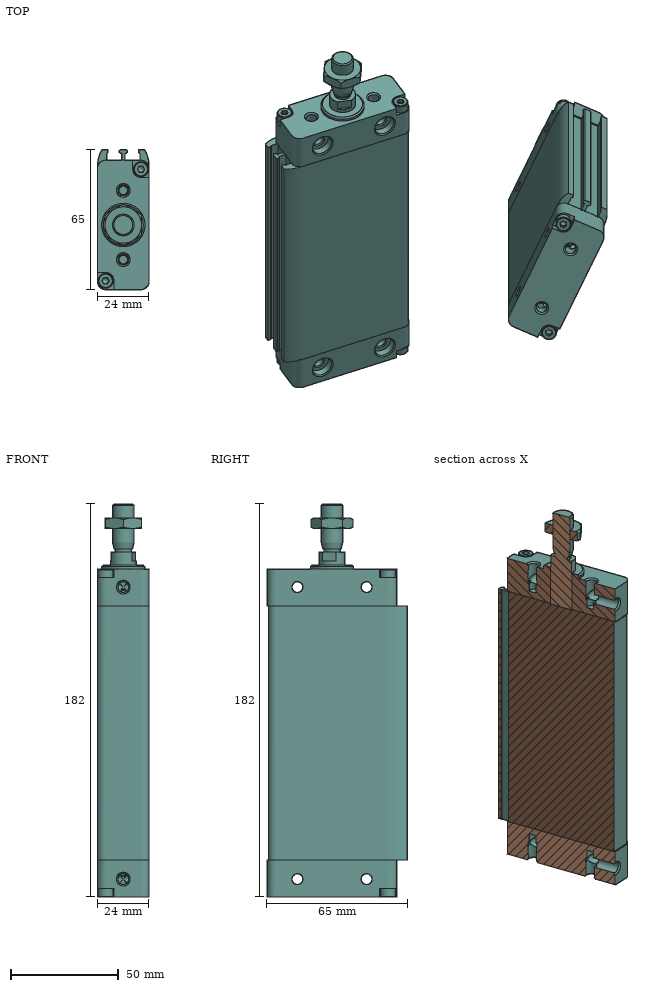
import math

import cadquery as cq


total_height = 182.0
cap_height = 17.1
body_height = 152.0
upper_joint = body_height - cap_height

width = 24.0
cap_depth = 60.0
cap_corner_radius = 4.0
half_width = width / 2
half_cap_depth = cap_depth / 2

mount_offset = 16.0
mount_end_distance = 8.4
mount_height = cap_height - mount_end_distance
mount_bore = 5.0
mount_bore_chamfer = 0.5
counterbore = 9.6
counterbore_chamfer = 0.5
counterbore_depth = 4.0

port_bore = 5.0
port_chamfer = 0.7
end_port_depth = 9.5
end_port_core = 4.0
end_port_core_depth = 13.6

screw_head = 7.0
screw_chamfer = 0.4
screw_inset_x = 3.8
screw_inset_y = 4.2
screw_x = half_width - screw_inset_x
screw_y = half_cap_depth - screw_inset_y
pocket_radius = 3.8
pocket_depth = 4.0
socket_flats = 3.0
socket_depth = 2.0
socket_cone = 0.7

collar_diameter = 20.0
collar_height = 1.8
collar_chamfer = 0.7

barrel_half_depth = 29.5
barrel_corner_radius = 3.6
rail_top = 35.0
rail_bevel_start = 26.8
rail_bevel_inset = 0.1
rail_arc_start = 27.8
rail_tip_inset = 2.2
rail_hook_inset = 5.0
rail_web_inset = 4.4
rail_hook_thickness = 1.3
rail_hook_taper = 0.7
tee_stem = 1.6
tee_head = 3.8
tee_head_thickness = 1.8
tee_chamfer = 0.5

rod_diameter = 12.0
shoulder_height = 159.8
thread_diameter = 10.0
thread_start = 164.2
thread_tip_diameter = 8.7
thread_tip_chamfer = 0.5
runout_diameter = 8.5
neck_diameter = 7.6
neck_height = 1.5
wrench_flats = 10.0
wrench_flat_bottom = 155.6
wrench_flat_angle = -15.0

nut_flats = 17.0
nut_thickness = 5.0
nut_bottom = 170.7
nut_chamfer_angle = 30.0

HEX_CORNER_RATIO = 1 / math.cos(math.pi / 6)


def countersunk_bore(diameter, depth, chamfer):
    """Tool for a bore that sinks from the XY plane to -depth, with a chamfered mouth."""
    radius = diameter / 2
    return (
        cq.Workplane("XZ")
        .polyline([
            (0, 0),
            (radius + chamfer, 0),
            (radius, -chamfer),
            (radius, -depth),
            (0, -depth),
        ])
        .close()
        .revolve(360, (0, 0, 0), (0, 1, 0))
    )


def cut_mounting_holes(cap):
    wide = countersunk_bore(counterbore, counterbore_depth, counterbore_chamfer)
    narrow = countersunk_bore(mount_bore, width - counterbore_depth, mount_bore_chamfer)
    hole = wide.union(narrow.translate((0, 0, -counterbore_depth)))
    hole = hole.rotate((0, 0, 0), (0, 1, 0), -90)
    for y in (-mount_offset, mount_offset):
        cap = cap.cut(hole.translate((-half_width, y, mount_height)))
    return cap


def cut_ports(cap):
    """Ports in the outer face and one in the -Y face, all opening into the mounting holes."""
    core = cq.Workplane("XY").circle(end_port_core / 2).extrude(-end_port_core_depth)
    end_port = countersunk_bore(port_bore, end_port_depth, port_chamfer).union(core)
    for y in (-mount_offset, mount_offset):
        cap = cap.cut(end_port.translate((0, y, cap_height)))
    side_depth = half_cap_depth - mount_offset
    side_port = countersunk_bore(port_bore, side_depth, port_chamfer)
    side_port = side_port.rotate((0, 0, 0), (1, 0, 0), 90)
    return cap.cut(side_port.translate((0, -half_cap_depth, mount_height)))


def screw_pocket():
    """Corner pocket around a screw head, as a tool for the -X, -Y corner, open at the top."""
    length_x = screw_inset_x + pocket_radius
    length_y = screw_inset_y + pocket_radius
    return (
        cq.Workplane("XY")
        .box(length_x, length_y, pocket_depth, centered=False)
        .edges("|Z and >X and >Y")
        .fillet(pocket_radius)
        .translate((-half_width, -half_cap_depth, cap_height - pocket_depth))
    )


def screw_head_shape():
    """Socket screw head standing on the pocket floor of the -X, -Y corner."""
    head = cq.Workplane("XY").circle(screw_head / 2).extrude(pocket_depth)
    head = head.faces(">Z").edges().chamfer(screw_chamfer)
    socket = (
        cq.Workplane("XY")
        .workplane(offset=pocket_depth - socket_depth)
        .polygon(6, socket_flats * HEX_CORNER_RATIO)
        .extrude(socket_depth)
    )
    cone = cq.Workplane(
        cq.Solid.makeCone(
            0,
            socket_flats / 2,
            socket_cone,
            pnt=cq.Vector(0, 0, pocket_depth - socket_depth - socket_cone),
        )
    )
    head = head.cut(socket).cut(cone)
    return head.translate((-screw_x, -screw_y, cap_height - pocket_depth))


def add_screws(cap):
    """Screws in two opposite corners."""
    pocket = screw_pocket()
    head = screw_head_shape()
    for angle in (0, 180):
        cap = cap.cut(pocket.rotate((0, 0, 0), (0, 0, 1), angle))
        cap = cap.union(head.rotate((0, 0, 0), (0, 0, 1), angle))
    return cap


def end_cap():
    """Cap with its joint face on Z = 0 and its outer face up."""
    cap = (
        cq.Workplane("XY")
        .box(width, cap_depth, cap_height, centered=(True, True, False))
        .edges("|Z")
        .fillet(cap_corner_radius)
    )
    return cut_ports(cut_mounting_holes(add_screws(cap)))


def make_lower_cap():
    return end_cap().mirror("XY").translate((0, 0, cap_height))


def make_upper_cap():
    collar = (
        cq.Workplane("XY")
        .workplane(offset=cap_height)
        .circle(collar_diameter / 2)
        .extrude(collar_height)
        .faces(">Z")
        .edges()
        .chamfer(collar_chamfer)
    )
    rod_bore = cq.Workplane("XY").circle(rod_diameter / 2).extrude(cap_height + collar_height)
    return end_cap().union(collar).cut(rod_bore).translate((0, 0, upper_joint))


def rail_outline_points():
    """Middle and end of the outer rail arc, which leaves the bevel parallel to the Y axis."""
    start_x = -half_width + rail_bevel_inset
    tip_x = -half_width + rail_tip_inset
    run = tip_x - start_x
    rise = rail_top - rail_arc_start
    radius = (run**2 + rise**2) / (2 * run)
    half_sweep = math.asin(rise / radius) / 2
    middle = (
        start_x + radius * (1 - math.cos(half_sweep)),
        rail_arc_start + radius * math.sin(half_sweep),
    )
    return middle, (tip_x, rail_top)


def hooked_rail(length):
    """Hooked rail on the -X side, with the bevelled part of the wall that carries it."""
    arc_middle, arc_end = rail_outline_points()
    hook_x = -half_width + rail_hook_inset
    web_x = -half_width + rail_web_inset
    hook_bottom = rail_top - rail_hook_thickness
    return (
        cq.Workplane("XY")
        .moveTo(-half_width, rail_bevel_start)
        .lineTo(-half_width + rail_bevel_inset, rail_arc_start)
        .threePointArc(arc_middle, arc_end)
        .lineTo(hook_x, rail_top)
        .lineTo(hook_x, hook_bottom)
        .lineTo(web_x, hook_bottom - rail_hook_taper)
        .lineTo(web_x, rail_bevel_start)
        .close()
        .extrude(length)
    )


def slab(size_x, start_y, end_y, length):
    """Block centred on X = 0 that reaches from start_y to end_y."""
    return (
        cq.Workplane("XY")
        .box(size_x, end_y - start_y, length, centered=(True, False, False))
        .translate((0, start_y, 0))
    )


def make_barrel():
    """Barrel profile with two hooked rails and a tee rail along its +Y face."""
    length = upper_joint - cap_height
    core = slab(width, -barrel_half_depth, rail_bevel_start, length)
    core = core.edges("|Z and <Y").fillet(barrel_corner_radius)
    rail = hooked_rail(length)
    slot_floor = slab(width - 2 * rail_web_inset, rail_bevel_start, barrel_half_depth, length)
    stem = slab(tee_stem, barrel_half_depth, rail_top, length)
    tee = slab(tee_head, rail_top - tee_head_thickness, rail_top, length)
    tee = tee.edges("|Z").chamfer(tee_chamfer)
    barrel = core.union(slot_floor).union(rail).union(rail.mirror("YZ")).union(stem).union(tee)
    return barrel.translate((0, 0, cap_height))


def make_rod():
    rod_radius = rod_diameter / 2
    thread_radius = thread_diameter / 2
    neck_radius = neck_diameter / 2
    neck_top = shoulder_height + neck_height
    rod = (
        cq.Workplane("XZ")
        .polyline([
            (0, upper_joint),
            (rod_radius, upper_joint),
            (rod_radius, shoulder_height),
            (neck_radius, shoulder_height),
            (neck_radius, neck_top),
            (runout_diameter / 2, neck_top),
            (thread_radius, thread_start),
            (thread_radius, total_height - thread_tip_chamfer),
            (thread_tip_diameter / 2, total_height),
            (0, total_height),
        ])
        .close()
        .revolve(360, (0, 0, 0), (0, 1, 0))
    )
    flat_height = shoulder_height - wrench_flat_bottom
    for side in (-1, 1):
        flat = (
            cq.Workplane("XY")
            .box(rod_diameter, rod_diameter, flat_height, centered=(True, True, False))
            .translate((side * (wrench_flats / 2 + rod_radius), 0, wrench_flat_bottom))
            .rotate((0, 0, 0), (0, 0, 1), wrench_flat_angle)
        )
        rod = rod.cut(flat)
    return rod


def make_nut():
    """Hexagon nut with corners on the Y axis, chamfered on both faces."""
    corner_radius = nut_flats * HEX_CORNER_RATIO / 2
    face_radius = nut_flats / 2
    bevel = (corner_radius - face_radius) * math.tan(math.radians(nut_chamfer_angle))
    hexagon = (
        cq.Workplane("XY")
        .polygon(6, 2 * corner_radius)
        .extrude(nut_thickness)
        .rotate((0, 0, 0), (0, 0, 1), 90)
    )
    envelope = (
        cq.Workplane("XZ")
        .polyline([
            (0, 0),
            (face_radius, 0),
            (corner_radius, bevel),
            (corner_radius, nut_thickness - bevel),
            (face_radius, nut_thickness),
            (0, nut_thickness),
        ])
        .close()
        .revolve(360, (0, 0, 0), (0, 1, 0))
    )
    bore = cq.Workplane("XY").circle(thread_diameter / 2).extrude(nut_thickness)
    return hexagon.intersect(envelope).cut(bore).translate((0, 0, nut_bottom))


lower_cap = make_lower_cap()
upper_cap = make_upper_cap()
barrel = make_barrel()
rod = make_rod()
nut = make_nut()

result = cq.Compound.makeCompound(
    [lower_cap.val(), upper_cap.val(), barrel.val(), rod.val(), nut.val()]
)